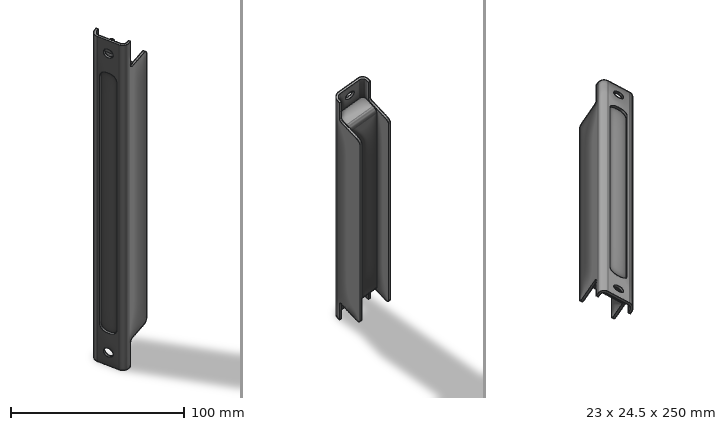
import cadquery as cq

LENGTH = 250
WIDTH = 23.0
DEPTH = 24.5
SHEET = 1.5
BEND_RADIUS = 4.2

NOTCH_LENGTH = 20.5
END_FLANGE_DEPTH = 6.0
FLANGE_CORNER_RADIUS = 3.0
NOTCH_RADIUS = 2.0

HOLE_DIAMETER = 6.5
HOLE_END_DISTANCE = 10
SLOT_WIDTH = 11.5
SLOT_LENGTH = 200
SLOT_CORNER_RADIUS = 5

BLOCK_LENGTH = 207.5
BLOCK_BACK = 13.8
BLOCK_EDGE_RADIUS = 3.2

INNER_WIDTH = WIDTH - 2 * SHEET


def centered_box(width, front, back, length):
    """Box centered on X and Z that spans front to back along Y."""
    return cq.Workplane("XY").box(width, back - front, length).translate((0, (front + back) / 2, 0))


def make_channel():
    outer = centered_box(WIDTH, 0, DEPTH, LENGTH).edges("|Z and <Y").fillet(BEND_RADIUS)
    inner = centered_box(INNER_WIDTH, SHEET, DEPTH, LENGTH)
    inner = inner.edges("|Z and <Y").fillet(BEND_RADIUS - SHEET)
    return outer.cut(inner)


def make_side_outline():
    """Solid across the full width with the notched outline of the flanges."""
    end_strip = centered_box(WIDTH, 0, END_FLANGE_DEPTH, LENGTH)
    tall_part = centered_box(WIDTH, 0, DEPTH, LENGTH - 2 * NOTCH_LENGTH)
    tall_part = tall_part.edges("|X and >Y").fillet(FLANGE_CORNER_RADIUS)
    outline = end_strip.union(tall_part)
    half_tall = LENGTH / 2 - NOTCH_LENGTH
    for z in (-half_tall, half_tall):
        corner = cq.selectors.NearestToPointSelector((0, END_FLANGE_DEPTH, z))
        outline = outline.edges(corner).fillet(NOTCH_RADIUS)
    return outline


def make_block():
    block = centered_box(INNER_WIDTH, SHEET, BLOCK_BACK, BLOCK_LENGTH)
    block = block.edges("|X and >Y").fillet(BLOCK_EDGE_RADIUS)
    return block.edges("|Z and <Y").fillet(BEND_RADIUS - SHEET)


def make_slot():
    slot = centered_box(SLOT_WIDTH, 0, SHEET, SLOT_LENGTH)
    return slot.edges("|Y").fillet(SLOT_CORNER_RADIUS)


def make_screw_holes():
    hole_offset = LENGTH / 2 - HOLE_END_DISTANCE
    holes = cq.Workplane("XZ").pushPoints([(0, -hole_offset), (0, hole_offset)])
    return holes.circle(HOLE_DIAMETER / 2).extrude(-SHEET)


result = make_channel().intersect(make_side_outline())
result = result.cut(make_slot()).cut(make_screw_holes()).union(make_block())